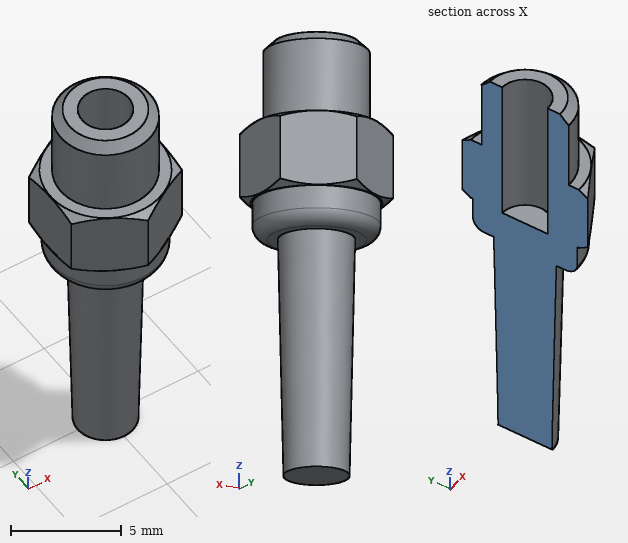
import cadquery as cq
import math

SPIGOT_DIAMETER = 4.83
SPIGOT_LENGTH = 4.0
SPIGOT_CHAMFER_WIDTH = 0.48
SPIGOT_CHAMFER_HEIGHT = 0.45

HEX_ACROSS_FLATS = 6.0
HEX_HEIGHT = 3.5
HEX_FACE_DIAMETER = 5.96
HEX_CHAMFER_ANGLE = 30.0

COLLAR_DIAMETER = 5.8
COLLAR_HEIGHT = 1.7
COLLAR_FILLET = 0.65

TAIL_LENGTH = 11.1
TAIL_TOP_DIAMETER = 3.5
TAIL_END_DIAMETER = 3.0

BORE_DIAMETER = 2.5

HEX_ACROSS_CORNERS = HEX_ACROSS_FLATS / math.cos(math.radians(30.0))
HEX_BOTTOM = -HEX_HEIGHT
COLLAR_BOTTOM = HEX_BOTTOM - COLLAR_HEIGHT
TAIL_BOTTOM = COLLAR_BOTTOM - TAIL_LENGTH
BORE_DEPTH = SPIGOT_LENGTH + HEX_HEIGHT


def make_turned_body():
    """Spigot, core, rounded collar and tapered tail as one revolved profile."""
    spigot_radius = SPIGOT_DIAMETER / 2
    collar_radius = COLLAR_DIAMETER / 2
    fillet_center_radius = collar_radius - COLLAR_FILLET
    fillet_center_z = COLLAR_BOTTOM + COLLAR_FILLET
    fillet_diagonal = COLLAR_FILLET * math.sqrt(0.5)
    return (
        cq.Workplane("XZ")
        .moveTo(0, SPIGOT_LENGTH)
        .lineTo(spigot_radius - SPIGOT_CHAMFER_WIDTH, SPIGOT_LENGTH)
        .lineTo(spigot_radius, SPIGOT_LENGTH - SPIGOT_CHAMFER_HEIGHT)
        .lineTo(spigot_radius, HEX_BOTTOM)
        .lineTo(collar_radius, HEX_BOTTOM)
        .lineTo(collar_radius, fillet_center_z)
        .threePointArc(
            (fillet_center_radius + fillet_diagonal, fillet_center_z - fillet_diagonal),
            (fillet_center_radius, COLLAR_BOTTOM),
        )
        .lineTo(TAIL_TOP_DIAMETER / 2, COLLAR_BOTTOM)
        .lineTo(TAIL_END_DIAMETER / 2, TAIL_BOTTOM)
        .lineTo(0, TAIL_BOTTOM)
        .close()
        .revolve(360, (0, 0), (0, 1))
    )


def make_hexagon():
    """Hexagon with corners on the Y axis, chamfered conically at both ends."""
    prism = (
        cq.Workplane("XY")
        .workplane(offset=HEX_BOTTOM)
        .polygon(6, HEX_ACROSS_CORNERS)
        .extrude(HEX_HEIGHT)
        .rotate((0, 0, 0), (0, 0, 1), 90)
    )
    face_radius = HEX_FACE_DIAMETER / 2
    corner_radius = HEX_ACROSS_CORNERS / 2
    corner_drop = (corner_radius - face_radius) * math.tan(math.radians(HEX_CHAMFER_ANGLE))
    chamfer_envelope = (
        cq.Workplane("XZ")
        .moveTo(0, 0)
        .lineTo(face_radius, 0)
        .lineTo(corner_radius, -corner_drop)
        .lineTo(corner_radius, HEX_BOTTOM + corner_drop)
        .lineTo(face_radius, HEX_BOTTOM)
        .lineTo(0, HEX_BOTTOM)
        .close()
        .revolve(360, (0, 0), (0, 1))
    )
    return prism.intersect(chamfer_envelope)


def make_bore():
    """Blind axial bore running through the spigot and the hexagon."""
    return (
        cq.Workplane("XY")
        .workplane(offset=SPIGOT_LENGTH - BORE_DEPTH)
        .circle(BORE_DIAMETER / 2)
        .extrude(BORE_DEPTH)
    )


result = make_turned_body().union(make_hexagon()).cut(make_bore())